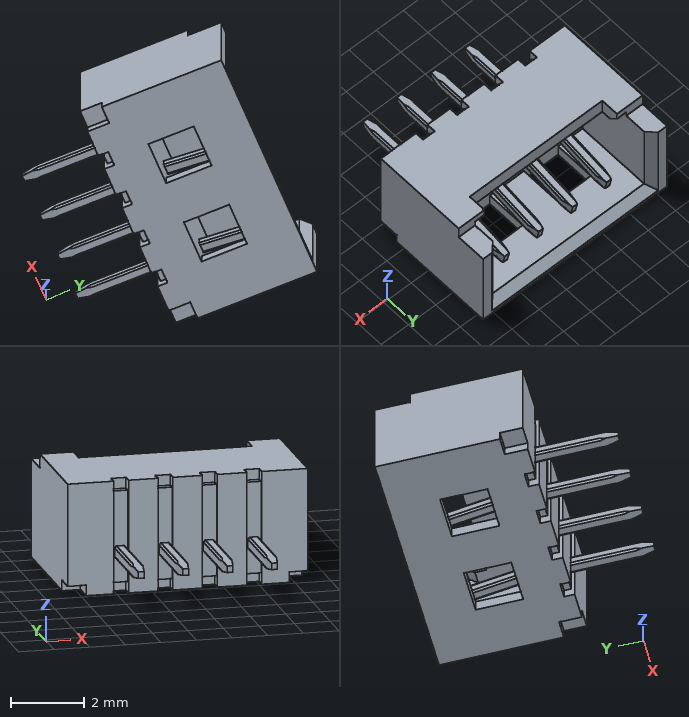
import cadquery as cq
import math


HOUSING_WIDTH = 6.75
HOUSING_DEPTH = 4.185
HOUSING_HEIGHT = 3.2
ARM_STEP_LENGTH = 1.0
ARM_STEP_DROP = 0.4
ROOF_Y = HOUSING_DEPTH - ARM_STEP_LENGTH
ROOF_NOTCH_WIDTH = 4.86
ROOF_NOTCH_Y = HOUSING_DEPTH - 1.6
FOOT_NOTCH_WIDTH = 0.52
FOOT_NOTCH_LENGTH = 0.65
FOOT_NOTCH_HEIGHT = 0.305

CAVITY_WIDTH = 5.55
MOUTH_CHAMFER = 0.28
FLOOR_LIP = 0.12
ROOF_LIP = 0.23
BACK_WALL = 1.4
CAVITY_FLOOR_Z = FLOOR_LIP + MOUTH_CHAMFER
CAVITY_ROOF_Z = HOUSING_HEIGHT - ROOF_LIP - MOUTH_CHAMFER
WINDOW_FRONT_Y = 2.74

PIN_COUNT = 4
PIN_PITCH = 1.25
PIN_X = [(i - (PIN_COUNT - 1) / 2) * PIN_PITCH for i in range(PIN_COUNT)]
GROOVE_WIDTH = 0.42
GROOVE_DEPTH = 0.3
PLATE_THICKNESS = 0.2
PLATE_END_GAP = 0.305

PIN_WIDTH = 0.32
PIN_HEIGHT = 0.36
PIN_CHAMFER = 0.055
PIN_Z = 1.155
TAIL_END_Y = -2.315
TAIL_TIP_LENGTH = 0.5
TIP_WIDTH = 0.16
TIP_HEIGHT = 0.18
FRONT_END_Y = 3.48
FRONT_TIP_LENGTH = 0.35
FRONT_TILT = 11.3
BEND_Y = BACK_WALL


def box(x_range, y_range, z_range):
    """Box spanning three (low, high) ranges."""
    lows, highs = zip(x_range, y_range, z_range)
    size = [high - low for low, high in zip(lows, highs)]
    return cq.Workplane("XY").box(*size, centered=False).translate(lows)


def centred(width, middle=0.0):
    """Range of the given width about a middle value."""
    return (middle - width / 2, middle + width / 2)


def housing_shell():
    """Outer block with lowered arms, a roof notch and two foot notches."""
    full_width = centred(HOUSING_WIDTH)
    shell = box(full_width, (0, HOUSING_DEPTH), (0, HOUSING_HEIGHT))
    arm_step_z = (HOUSING_HEIGHT - ARM_STEP_DROP, HOUSING_HEIGHT)
    shell = shell.cut(box(full_width, (ROOF_Y, HOUSING_DEPTH), arm_step_z))
    roof_notch_y = (ROOF_NOTCH_Y, HOUSING_DEPTH)
    shell = shell.cut(box(centred(ROOF_NOTCH_WIDTH), roof_notch_y, (CAVITY_FLOOR_Z, HOUSING_HEIGHT)))
    for side in (-1, 1):
        notch_x = centred(FOOT_NOTCH_WIDTH, side * (HOUSING_WIDTH - FOOT_NOTCH_WIDTH) / 2)
        shell = shell.cut(box(notch_x, (0, FOOT_NOTCH_LENGTH), (0, FOOT_NOTCH_HEIGHT)))
    return shell


def mating_cavity():
    """Cavity with a chamfered mouth, open at the top between the arms."""
    cavity = box(centred(CAVITY_WIDTH), (BACK_WALL, HOUSING_DEPTH), (CAVITY_FLOOR_Z, CAVITY_ROOF_Z))
    open_top = box(centred(CAVITY_WIDTH), (ROOF_Y, HOUSING_DEPTH), (CAVITY_FLOOR_Z, HOUSING_HEIGHT))
    return cavity.union(open_top).union(mouth_chamfer()).union(roof_chamfer())


def mouth_chamfer():
    """Flare along the floor and both side walls, reaching past the arm tops."""
    inner_height = HOUSING_HEIGHT - CAVITY_FLOOR_Z
    outer_height = inner_height + 2 * MOUTH_CHAMFER
    flare_middle_z = CAVITY_FLOOR_Z + inner_height / 2
    return (
        cq.Workplane("XZ", origin=(0, HOUSING_DEPTH, flare_middle_z))
        .rect(CAVITY_WIDTH + 2 * MOUTH_CHAMFER, outer_height)
        .workplane(offset=MOUTH_CHAMFER)
        .rect(CAVITY_WIDTH, inner_height)
        .loft(ruled=True)
    )


def roof_chamfer():
    """Chamfer under the front edge of the roof."""
    return (
        cq.Workplane("YZ")
        .moveTo(ROOF_Y - MOUTH_CHAMFER, CAVITY_ROOF_Z)
        .lineTo(ROOF_Y, CAVITY_ROOF_Z)
        .lineTo(ROOF_Y, CAVITY_ROOF_Z + MOUTH_CHAMFER)
        .close()
        .extrude(CAVITY_WIDTH / 2, both=True)
    )


def floor_windows():
    """Windows through the cavity floor, one between each outer pair of pins."""
    first = box((PIN_X[0], PIN_X[1]), (BACK_WALL, WINDOW_FRONT_Y), (0, CAVITY_FLOOR_Z))
    return first.union(first.mirror("YZ"))


def make_housing():
    housing = housing_shell().cut(mating_cavity()).cut(floor_windows())
    for x in PIN_X:
        housing = housing.cut(box(centred(GROOVE_WIDTH, x), (0, GROOVE_DEPTH), (0, HOUSING_HEIGHT)))
        housing = housing.cut(make_pin(x))
    return housing


def make_plate(x):
    """Plate on the groove bottom, with a hole that fits the pin."""
    plate = box(
        centred(GROOVE_WIDTH, x),
        (GROOVE_DEPTH - PLATE_THICKNESS, GROOVE_DEPTH),
        (PLATE_END_GAP, HOUSING_HEIGHT - PLATE_END_GAP),
    )
    return plate.cut(make_pin(x))


def pin_bar(start_y, end_y):
    """Straight bar along Y on the Z = 0 axis, with its four long edges chamfered."""
    bar = box(centred(PIN_WIDTH), (start_y, end_y), centred(PIN_HEIGHT))
    return bar.edges("|Y").chamfer(PIN_CHAMFER)


def pin_tail():
    """Straight rear leg, tapered on all four sides at its end."""
    tip_start_y = TAIL_END_Y + TAIL_TIP_LENGTH
    taper = (
        cq.Workplane("XZ", origin=(0, tip_start_y, 0))
        .rect(PIN_WIDTH, PIN_HEIGHT)
        .workplane(offset=TAIL_TIP_LENGTH)
        .rect(TIP_WIDTH, TIP_HEIGHT)
        .loft(ruled=True)
    )
    tip = pin_bar(TAIL_END_Y, tip_start_y).intersect(taper)
    return pin_bar(tip_start_y, BEND_Y).union(tip)


def pin_front():
    """Front leg along Y, tapered on its two sides at its end, with spare length behind Y = 0."""
    tilt = math.radians(FRONT_TILT)
    length = (FRONT_END_Y - BEND_Y - PIN_HEIGHT / 2 * math.sin(tilt)) / math.cos(tilt)
    outline = (
        cq.Workplane("XY")
        .moveTo(-PIN_WIDTH / 2, -PIN_HEIGHT)
        .lineTo(PIN_WIDTH / 2, -PIN_HEIGHT)
        .lineTo(PIN_WIDTH / 2, length - FRONT_TIP_LENGTH)
        .lineTo(TIP_WIDTH / 2, length)
        .lineTo(-TIP_WIDTH / 2, length)
        .lineTo(-PIN_WIDTH / 2, length - FRONT_TIP_LENGTH)
        .close()
        .extrude(PIN_HEIGHT / 2, both=True)
    )
    return pin_bar(-PIN_HEIGHT, length).intersect(outline)


def make_pin(x):
    """One bent pin; the two legs are mitred where they meet."""
    half_tilt = FRONT_TILT / 2
    reach = FRONT_END_Y - TAIL_END_Y
    mitre = box(centred(reach), (-reach, 0), centred(reach)).rotate((0, 0, 0), (1, 0, 0), -half_tilt)
    tail = pin_bar(0, PIN_HEIGHT).translate((0, BEND_Y, 0)).union(pin_tail())
    tail = tail.intersect(mitre.translate((0, BEND_Y, 0)))
    front = pin_front().rotate((0, 0, 0), (1, 0, 0), -FRONT_TILT).cut(mitre)
    return tail.union(front.translate((0, BEND_Y, 0))).translate((x, 0, PIN_Z))


housing = make_housing()
plates = [make_plate(x) for x in PIN_X]
pins = [make_pin(x) for x in PIN_X]
bodies = [housing, *plates, *pins]
result = cq.Compound.makeCompound([body.solids().val() for body in bodies])